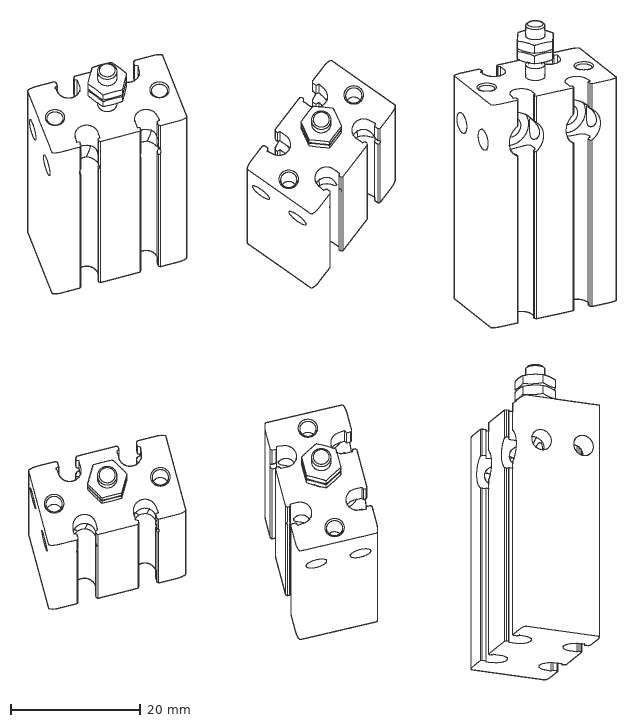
import cadquery as cq
import math

housing_width = 13.0
housing_depth = 22.0
housing_height = 38.0
half_width = housing_width / 2
half_depth = housing_depth / 2

flank_radius = 3.52
flank_length = 1.4
edge_radius = 0.3

slot_offset = 4.85
slot_floor_radius = 1.8
slot_reach = 3.7
outer_wall_draft = math.radians(8)
mouth_inner_edge = 3.45
mouth_outer_edge = 6.3
mouth_chamfer = 0.25
inner_lip_thickness = 0.6
outer_lip_thickness = 0.9
lip_slant = 0.2

cross_hole_drop = 7.0
cross_hole_diameter = 3.3
x_hole_offset = 5.0
counterbore_diameter = 6.0
counterbore_depth = 5.0
y_hole_offset = 3.52
end_hole_offset = 8.5
end_hole_diameter = 2.5
end_hole_mouth_diameter = 3.0
end_hole_depth = 5.0

rod_diameter = 3.0
rod_top = 47.0
rod_tip_diameter = 2.45
shoulder_height = 2.0
neck_diameter = 2.0
neck_top = 40.6
neck_fillet = 0.15

nut_across_flats = 5.5
nut_thickness = 1.8
nut_face_diameter = 4.7
nut_corner_drop = 0.25
nut_count = 2
tip_exposure = 2.0
nut_corner_diameter = nut_across_flats / math.cos(math.pi / 6)


def both_ways(offset):
    return (-offset, offset)


def corner_profile():
    """Closed outline of the waste outside the corner at +X, +Y."""
    flank_center_x = half_width - flank_radius
    flank_center_y = half_depth - flank_length
    round_center_y = half_depth - edge_radius
    center_distance = flank_radius - edge_radius
    rise = round_center_y - flank_center_y
    round_center_x = flank_center_x + math.sqrt(center_distance ** 2 - rise ** 2)
    meeting_angle = math.asin(rise / center_distance)

    def on_flank(angle):
        return (
            flank_center_x + flank_radius * math.cos(angle),
            flank_center_y + flank_radius * math.sin(angle),
        )

    round_middle = (meeting_angle + math.pi / 2) / 2
    round_middle_point = (
        round_center_x + edge_radius * math.cos(round_middle),
        round_center_y + edge_radius * math.sin(round_middle),
    )
    return (
        cq.Workplane("XY")
        .moveTo(half_width, flank_center_y)
        .threePointArc(on_flank(meeting_angle / 2), on_flank(meeting_angle))
        .threePointArc(round_middle_point, (round_center_x, half_depth))
        .lineTo(half_width, half_depth)
        .close()
    )


def make_slot_cutter():
    """Undercut slot through the -X face on the +Y side, full height."""
    floor_center_x = -half_width + slot_reach - slot_floor_radius
    inner_wall_y = slot_offset - slot_floor_radius
    tangent_x = floor_center_x + slot_floor_radius * math.sin(outer_wall_draft)
    tangent_y = slot_offset + slot_floor_radius * math.cos(outer_wall_draft)
    inner_lip_x = -half_width + inner_lip_thickness
    outer_lip_x = -half_width + outer_lip_thickness
    outer_wall_x = outer_lip_x + lip_slant
    outer_wall_y = tangent_y + (tangent_x - outer_wall_x) * math.tan(outer_wall_draft)
    chamfer_x = -half_width + mouth_chamfer
    return (
        cq.Workplane("XY")
        .moveTo(-half_width, mouth_inner_edge - mouth_chamfer)
        .lineTo(chamfer_x, mouth_inner_edge)
        .lineTo(inner_lip_x, mouth_inner_edge)
        .lineTo(inner_lip_x + lip_slant, inner_wall_y)
        .lineTo(floor_center_x, inner_wall_y)
        .threePointArc((floor_center_x + slot_floor_radius, slot_offset), (tangent_x, tangent_y))
        .lineTo(outer_wall_x, outer_wall_y)
        .lineTo(outer_lip_x, mouth_outer_edge)
        .lineTo(chamfer_x, mouth_outer_edge)
        .lineTo(-half_width, mouth_outer_edge + mouth_chamfer)
        .close()
        .extrude(housing_height)
    )


def hole_along(axis, diameter, start, length):
    cylinder = cq.Solid.makeCylinder(diameter / 2, length, cq.Vector(*start), cq.Vector(*axis))
    return cq.Workplane(cylinder)


def cut_in_all_quadrants(body, cutter):
    """Cut with a tool and its mirror images across the X and Y mid-planes."""
    for tool in (cutter, cutter.mirror("YZ")):
        body = body.cut(tool).cut(tool.mirror("XZ"))
    return body


def make_housing():
    body = cq.Workplane("XY").box(
        housing_width, housing_depth, housing_height, centered=(True, True, False)
    )

    corner_waste = corner_profile().extrude(housing_height)
    for cutter in (corner_waste, make_slot_cutter()):
        body = cut_in_all_quadrants(body, cutter)

    hole_z = housing_height - cross_hole_drop
    for y in both_ways(x_hole_offset):
        start = (-half_width, y, hole_z)
        body = body.cut(hole_along((1, 0, 0), cross_hole_diameter, start, housing_width))
        body = body.cut(hole_along((1, 0, 0), counterbore_diameter, start, counterbore_depth))

    for x in both_ways(y_hole_offset):
        start = (x, -half_depth, hole_z)
        body = body.cut(hole_along((0, 1, 0), cross_hole_diameter, start, housing_depth))

    for y in both_ways(end_hole_offset):
        body = body.cut(end_hole_cutter(y))
    return body


def end_hole_cutter(center_y):
    """Blind hole in the top face with a 45 degree mouth chamfer."""
    radius = end_hole_diameter / 2
    mouth_radius = end_hole_mouth_diameter / 2
    chamfer = mouth_radius - radius
    return (
        cq.Workplane("XZ", origin=(0, center_y, housing_height))
        .moveTo(0, 0)
        .lineTo(mouth_radius, 0)
        .lineTo(radius, -chamfer)
        .lineTo(radius, -end_hole_depth)
        .lineTo(0, -end_hole_depth)
        .close()
        .revolve(360, (0, 0, 0), (0, 1, 0))
    )


def make_rod():
    radius = rod_diameter / 2
    tip_radius = rod_tip_diameter / 2
    neck_radius = neck_diameter / 2
    shoulder_z = housing_height + shoulder_height
    turned_rod = (
        cq.Workplane("XZ")
        .moveTo(0, housing_height)
        .lineTo(radius, housing_height)
        .lineTo(radius, shoulder_z)
        .lineTo(neck_radius, shoulder_z)
        .lineTo(neck_radius, neck_top)
        .lineTo(radius, neck_top + radius - neck_radius)
        .lineTo(radius, rod_top - (radius - tip_radius))
        .lineTo(tip_radius, rod_top)
        .lineTo(0, rod_top)
        .close()
        .revolve(360, (0, 0, 0), (0, 1, 0))
    )
    return turned_rod.edges(cq.selectors.RadiusNthSelector(0)).fillet(neck_fillet)


def make_nut(bottom_z):
    """Hexagon nut with corners on the Y axis, both faces chamfered by a cone."""
    corner_radius = nut_corner_diameter / 2
    face_radius = nut_face_diameter / 2
    prism = (
        cq.Workplane("XY")
        .polygon(6, nut_corner_diameter)
        .extrude(nut_thickness)
        .rotate((0, 0, 0), (0, 0, 1), 90)
    )
    chamfer_envelope = (
        cq.Workplane("XZ")
        .moveTo(0, 0)
        .lineTo(face_radius, 0)
        .lineTo(corner_radius, nut_corner_drop)
        .lineTo(corner_radius, nut_thickness - nut_corner_drop)
        .lineTo(face_radius, nut_thickness)
        .lineTo(0, nut_thickness)
        .close()
        .revolve(360, (0, 0, 0), (0, 1, 0))
    )
    rod_hole = cq.Workplane("XY").circle(rod_diameter / 2).extrude(nut_thickness)
    return prism.intersect(chamfer_envelope).cut(rod_hole).translate((0, 0, bottom_z))


housing = make_housing()
rod = make_rod()
nut_stack_top = rod_top - tip_exposure
nuts = [make_nut(nut_stack_top - (i + 1) * nut_thickness) for i in range(nut_count)]

result = cq.Compound.makeCompound([housing.val(), rod.val(), *[nut.val() for nut in nuts]])